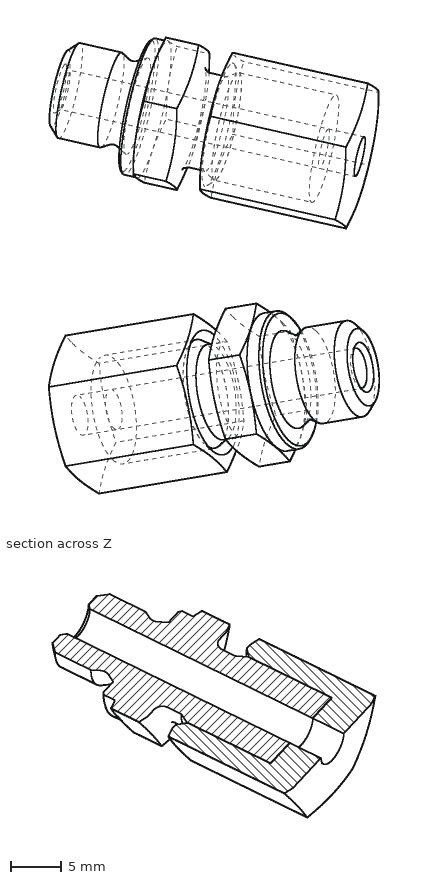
import cadquery as cq
import math

total_length = 31.0
across_flats = 14.0
across_corners = across_flats / math.cos(math.radians(30))
hex_chamfer_angle = 15.0

bore_radius = 2.0
bore_mouth_radius = 2.5
bore_mouth_depth = bore_mouth_radius - bore_radius

spigot_radius = 4.87
nose_chamfer = 0.95
spigot_end = 5.27
groove_floor_radius = 4.28
groove_arc_radius = 1.0
groove_wall_angle = 30.0

collar_start = 7.97
collar_radius = 6.98
collar_chamfer = 0.28
hex_start = 9.55
hex_end = 13.52

neck_radius = 4.85
neck_fillet = 1.0
neck_end = 16.1
stub_radius = 5.5
stub_chamfer_angle = 30.0
stub_end = 27.28

nut_start = 16.43
nut_mouth_radius = 6.3
nut_mouth_depth = nut_mouth_radius - stub_radius


def hexagon(start, end):
    """Hexagonal prism with flats facing +Z and -Z and conically chamfered corners at both ends."""
    prism = (
        cq.Workplane("YZ", origin=(start, 0, 0))
        .polygon(6, across_corners)
        .extrude(end - start)
    )
    flat_radius = across_flats / 2
    corner_radius = across_corners / 2
    setback = (corner_radius - flat_radius) * math.tan(math.radians(hex_chamfer_angle))
    envelope = (
        cq.Workplane("XY")
        .moveTo(start, 0)
        .lineTo(start, flat_radius)
        .lineTo(start + setback, corner_radius)
        .lineTo(end - setback, corner_radius)
        .lineTo(end, flat_radius)
        .lineTo(end, 0)
        .close()
        .revolve(360, (0, 0, 0), (1, 0, 0))
    )
    return prism.intersect(envelope)


def cylinder(radius, start, end):
    """Cylinder on the X axis."""
    return cq.Workplane("YZ", origin=(start, 0, 0)).circle(radius).extrude(end - start)


def turned_front():
    """Chamfered spigot, relief groove and collar, up to the front of the hexagon."""
    wall = math.radians(groove_wall_angle)
    arc_half_width = groove_arc_radius * math.sin(wall)
    arc_edge_radius = groove_floor_radius + groove_arc_radius * (1 - math.cos(wall))
    arc_start = spigot_end + (spigot_radius - arc_edge_radius) / math.tan(wall)
    arc_middle = arc_start + arc_half_width
    arc_end = arc_middle + arc_half_width
    wall_top_radius = arc_edge_radius + (collar_start - arc_end) * math.tan(wall)
    return (
        cq.Workplane("XY")
        .moveTo(0, 0)
        .lineTo(0, spigot_radius - nose_chamfer)
        .lineTo(nose_chamfer, spigot_radius)
        .lineTo(spigot_end, spigot_radius)
        .lineTo(arc_start, arc_edge_radius)
        .threePointArc((arc_middle, groove_floor_radius), (arc_end, arc_edge_radius))
        .lineTo(collar_start, wall_top_radius)
        .lineTo(collar_start, collar_radius - collar_chamfer)
        .lineTo(collar_start + collar_chamfer, collar_radius)
        .lineTo(hex_start, collar_radius)
        .lineTo(hex_start, 0)
        .close()
        .revolve(360, (0, 0, 0), (1, 0, 0))
    )


def turned_rear():
    """Filleted neck and stub behind the hexagon."""
    chamfer_length = (stub_radius - neck_radius) / math.tan(math.radians(stub_chamfer_angle))
    fillet_centre_x = hex_end + neck_fillet
    fillet_centre_radius = neck_radius + neck_fillet
    fillet_offset = neck_fillet * math.sin(math.radians(45))
    return (
        cq.Workplane("XY")
        .moveTo(hex_end, 0)
        .lineTo(hex_end, fillet_centre_radius)
        .threePointArc(
            (fillet_centre_x - fillet_offset, fillet_centre_radius - fillet_offset),
            (fillet_centre_x, neck_radius),
        )
        .lineTo(neck_end, neck_radius)
        .lineTo(neck_end + chamfer_length, stub_radius)
        .lineTo(stub_end, stub_radius)
        .lineTo(stub_end, 0)
        .close()
        .revolve(360, (0, 0, 0), (1, 0, 0))
    )


def countersink(start, mouth_radius, end_radius, depth):
    """Cone on the X axis that narrows from its mouth toward +X."""
    return (
        cq.Workplane("XY")
        .moveTo(start, 0)
        .lineTo(start, mouth_radius)
        .lineTo(start + depth, end_radius)
        .lineTo(start + depth, 0)
        .close()
        .revolve(360, (0, 0, 0), (1, 0, 0))
    )


def make_fitting():
    """Hexagon fitting with a spigot in front and a stub behind, bored through."""
    blank = turned_front().union(hexagon(hex_start, hex_end)).union(turned_rear())
    bore = cylinder(bore_radius, 0, stub_end)
    bore_mouth = countersink(0, bore_mouth_radius, bore_radius, bore_mouth_depth)
    return blank.cut(bore).cut(bore_mouth)


def make_nut():
    """Union nut with a countersunk cavity for the stub, and the bore carried on through its rear wall."""
    cavity = cylinder(stub_radius, nut_start, stub_end)
    mouth = countersink(nut_start, nut_mouth_radius, stub_radius, nut_mouth_depth)
    rear_hole = cylinder(bore_radius, stub_end, total_length)
    return hexagon(nut_start, total_length).cut(cavity).cut(mouth).cut(rear_hole)


fitting = make_fitting()
nut = make_nut()

result = cq.Compound.makeCompound([fitting.val(), nut.val()])